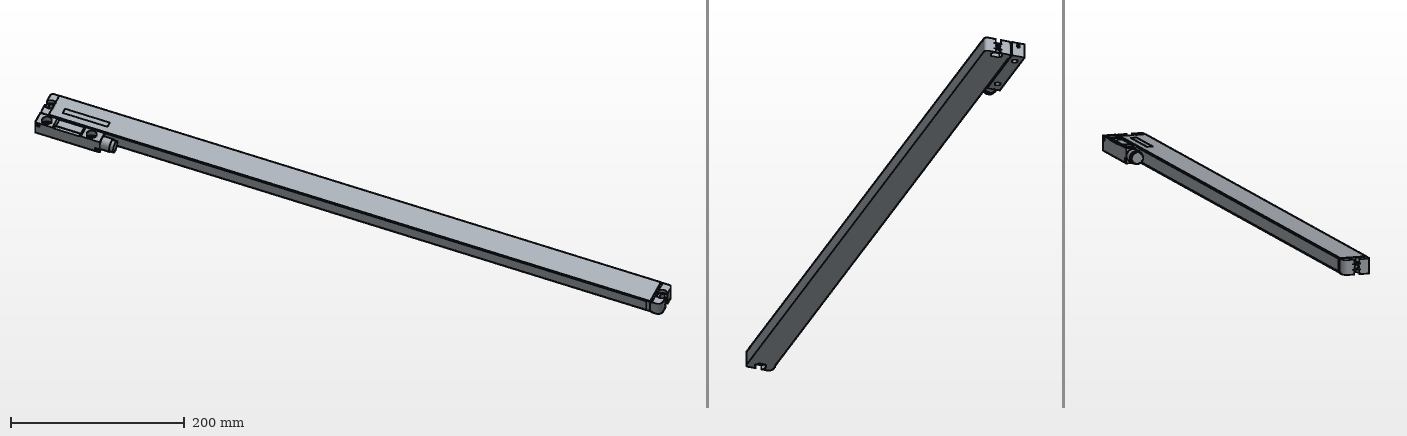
import cadquery as cq

LENGTH = 775.0
WIDTH = 49.0
HEIGHT = 18.0
MID_Z = HEIGHT / 2

SCALE_WIDTH = 32.5
SCALE_FRONT = WIDTH - SCALE_WIDTH
SCALE_MID_Y = SCALE_FRONT + SCALE_WIDTH / 2
LEFT_CAP = 10.0
RIGHT_CAP = 12.0
LEFT_CORNER_RADIUS = 4.0
RIGHT_FRONT_RADIUS = 6.0
RIGHT_BACK_RADIUS = 4.0
FRONT_BEVEL_DEPTH = 1.0
FRONT_BEVEL_HEIGHT = 1.5
SHALLOW = 0.2

LUG_THICKNESS = 7.0
LUG_RECESS_DIAMETER = 13.0
LUG_SLOT_LENGTH = 9.0
LUG_SLOT_WIDTH = 5.5
LUG_HOLE_INSET = 5.8
END_HOLE_DIAMETER = 5.5

TOP_GROOVE_WIDTH = 2.0
SIDE_RECESS_START = 756.5
SIDE_RECESS_WIDTH = 5.0
LABEL_START = 24.0
LABEL_LENGTH = 56.0
LABEL_FRONT = 25.5
LABEL_WIDTH = 7.0

HEAD_GAP = 1.0
HEAD_LENGTH = 80.5
HEAD_WIDTH = SCALE_FRONT - HEAD_GAP
HEAD_MID_Y = HEAD_WIDTH / 2
HEAD_HOLES_X = (12.0, 67.5)
HEAD_HOLE_DIAMETER = 7.0
HEAD_BORE_DIAMETER = 12.0
HEAD_BORE_DEPTH = 8.0

RELIEF_START = 22.0
RELIEF_END = 57.0
RELIEF_SLOPE = 2.0
RELIEF_STEP_Y = 5.0
RELIEF_FRONT_DEPTH = 1.0
RELIEF_BACK_DEPTH = 1.5

DIMPLE_DIAMETER = 4.0
DIMPLE_DEPTH = 1.5
DIMPLE_INSET = 4.0

COLLAR_DIAMETER = 15.5
COLLAR_LENGTH = 12.0
CABLE_DIAMETER = 14.0
CABLE_LENGTH = 5.0


def block(x, y, z, length, width, height):
    """Box with its lowest corner at (x, y, z)."""
    return cq.Workplane("XY").box(length, width, height, centered=False).translate((x, y, z))


def x_cylinder(x, y, z, diameter, length):
    """Cylinder that starts at (x, y, z) and runs along +X."""
    return cq.Workplane("YZ", origin=(x, y, z)).circle(diameter / 2).extrude(length)


def lug_cutter(hole_x, cap_start, cap_length):
    """Round recesses above and below a lug, kept inside the cap, and the slot through the lug."""
    recess = cq.Workplane("XY").center(hole_x, SCALE_MID_Y).circle(LUG_RECESS_DIAMETER / 2).extrude(HEIGHT)
    recess = recess.intersect(block(cap_start, SCALE_FRONT, 0, cap_length, SCALE_WIDTH, HEIGHT))
    lug_bottom = MID_Z - LUG_THICKNESS / 2
    recess = recess.cut(block(cap_start, SCALE_FRONT, lug_bottom, cap_length, SCALE_WIDTH, LUG_THICKNESS))
    slot = cq.Workplane("XY").center(hole_x, SCALE_MID_Y).slot2D(LUG_SLOT_LENGTH, LUG_SLOT_WIDTH, 90)
    return recess.union(slot.extrude(HEIGHT))


def make_scale_unit():
    body = block(0, SCALE_FRONT, 0, LENGTH, SCALE_WIDTH, HEIGHT)
    body = body.edges("|Z and <X").fillet(LEFT_CORNER_RADIUS)
    body = body.edges("|Z and >X and <Y").fillet(RIGHT_FRONT_RADIUS)
    body = body.edges("|Z and >X and >Y").fillet(RIGHT_BACK_RADIUS)

    right_cap_start = LENGTH - RIGHT_CAP
    beam_length = right_cap_start - LEFT_CAP
    for z, inward in ((0, 1), (HEIGHT, -1)):
        bevel = (
            cq.Workplane("YZ", origin=(LEFT_CAP, SCALE_FRONT, z))
            .polyline([(0, 0), (FRONT_BEVEL_DEPTH, 0), (0, inward * FRONT_BEVEL_HEIGHT)])
            .close()
            .extrude(beam_length)
        )
        body = body.cut(bevel)

    body = body.cut(lug_cutter(LUG_HOLE_INSET, 0, LEFT_CAP))
    body = body.cut(lug_cutter(LENGTH - LUG_HOLE_INSET, right_cap_start, RIGHT_CAP))
    for x in (0, LENGTH - LUG_HOLE_INSET):
        body = body.cut(x_cylinder(x, SCALE_MID_Y, MID_Z, END_HOLE_DIAMETER, LUG_HOLE_INSET))

    cap_top = HEIGHT - SHALLOW
    groove_depth = 2 * SHALLOW
    groove_start = right_cap_start - TOP_GROOVE_WIDTH
    groove_floor = HEIGHT - groove_depth
    body = body.cut(block(0, SCALE_FRONT, cap_top, LEFT_CAP, SCALE_WIDTH, SHALLOW))
    body = body.cut(block(right_cap_start, SCALE_FRONT, cap_top, RIGHT_CAP, SCALE_WIDTH, SHALLOW))
    body = body.cut(block(groove_start, SCALE_FRONT, groove_floor, TOP_GROOVE_WIDTH, SCALE_WIDTH, groove_depth))

    body = body.cut(block(SIDE_RECESS_START, SCALE_FRONT, 0, SIDE_RECESS_WIDTH, SHALLOW, HEIGHT))
    label_floor = HEIGHT - SHALLOW
    return body.cut(block(LABEL_START, LABEL_FRONT, label_floor, LABEL_LENGTH, LABEL_WIDTH, SHALLOW))


def relief_cutter(front, back, depth):
    """Trapezoid relief in the top of the head between two Y positions."""
    return (
        cq.Workplane("XZ", origin=(0, back, HEIGHT))
        .moveTo(RELIEF_START, 0)
        .lineTo(RELIEF_START + RELIEF_SLOPE, -depth)
        .lineTo(RELIEF_END - RELIEF_SLOPE, -depth)
        .lineTo(RELIEF_END, 0)
        .close()
        .extrude(back - front)
    )


def make_reading_head():
    head = block(0, 0, 0, HEAD_LENGTH, HEAD_WIDTH, HEIGHT)
    head = head.cut(relief_cutter(0, RELIEF_STEP_Y, RELIEF_FRONT_DEPTH))
    head = head.cut(relief_cutter(RELIEF_STEP_Y, HEAD_WIDTH, RELIEF_BACK_DEPTH))

    for x in HEAD_HOLES_X:
        head = (
            head.copyWorkplane(cq.Workplane("XY", origin=(x, HEAD_MID_Y, HEIGHT)))
            .cboreHole(HEAD_HOLE_DIAMETER, HEAD_BORE_DIAMETER, HEAD_BORE_DEPTH)
        )

    front_dimples = ((DIMPLE_INSET, HEIGHT - DIMPLE_INSET), (HEAD_LENGTH - DIMPLE_INSET, DIMPLE_INSET))
    dimples = cq.Workplane("XZ").pushPoints(front_dimples).circle(DIMPLE_DIAMETER / 2).extrude(-DIMPLE_DEPTH)
    head = head.cut(dimples)
    head = head.cut(x_cylinder(0, HEAD_MID_Y, HEIGHT - DIMPLE_INSET, DIMPLE_DIAMETER, DIMPLE_DEPTH))

    outlet_length = COLLAR_LENGTH + CABLE_LENGTH
    head = head.union(x_cylinder(HEAD_LENGTH, HEAD_MID_Y, MID_Z, COLLAR_DIAMETER, COLLAR_LENGTH))
    return head.union(x_cylinder(HEAD_LENGTH, HEAD_MID_Y, MID_Z, CABLE_DIAMETER, outlet_length))


scale_unit = make_scale_unit()
reading_head = make_reading_head()

result = cq.Compound.makeCompound([scale_unit.val(), reading_head.val()])